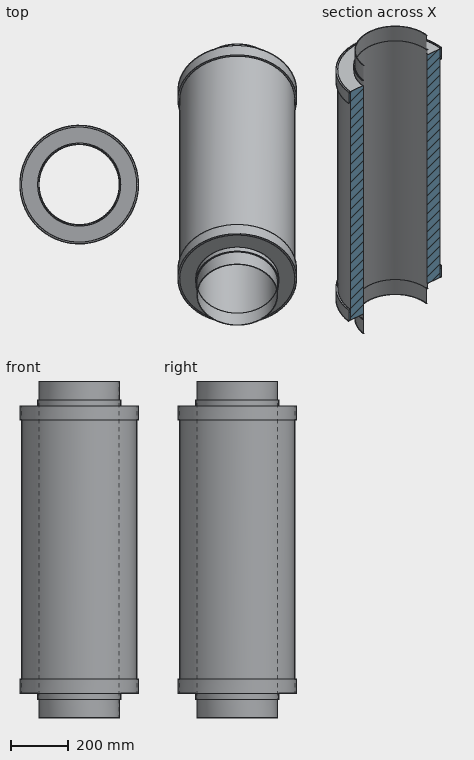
import cadquery as cq

total_length = 1170.0
band_diameter = 413.0

casing_diameter = 400.0
spigot_diameter = 281.0
spigot_wall = 1.0
collar_diameter = 289.0
spigot_length = 64.0
collar_length = 21.0

band_width = 49.0

casing_length = total_length - 2 * (spigot_length + collar_length)
bore_diameter = spigot_diameter - 2 * spigot_wall


def centred_cylinder(diameter, length):
    """Cylinder on the Z axis, centred on the origin."""
    return cq.Workplane("XY").workplane(offset=-length / 2).circle(diameter / 2).extrude(length)


def make_silencer():
    """Casing, collars and spigots in one solid with a straight through bore."""
    casing = centred_cylinder(casing_diameter, casing_length)
    collars = centred_cylinder(collar_diameter, casing_length + 2 * collar_length)
    spigots = centred_cylinder(spigot_diameter, total_length)
    bore = centred_cylinder(bore_diameter, total_length)
    return casing.union(collars).union(spigots).cut(bore)


def make_end_band(bottom_z):
    """Ring that fits closely around the casing."""
    return (
        cq.Workplane("XY")
        .workplane(offset=bottom_z)
        .circle(band_diameter / 2)
        .circle(casing_diameter / 2)
        .extrude(band_width)
    )


silencer = make_silencer()

band_bottoms = (-casing_length / 2, casing_length / 2 - band_width)
end_bands = [make_end_band(bottom_z) for bottom_z in band_bottoms]

result = cq.Compound.makeCompound([silencer.val(), *[band.val() for band in end_bands]])